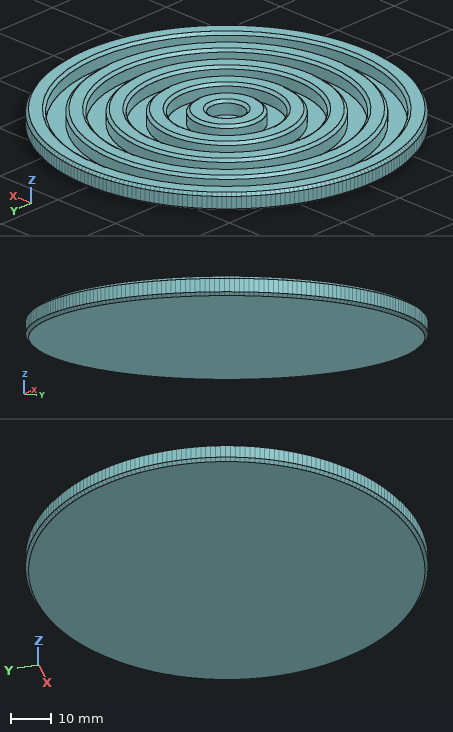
import cadquery as cq
import math

disc_width = 100.0
thickness = 5.0
floor_thickness = 1.0
land_width = 5.0
edge_chamfer = 0.8
rim_facets = 256
groove_count = 4

disc_corner_diameter = disc_width / math.cos(math.pi / rim_facets)
facet_turn = 180.0 / rim_facets
ring_pitch = 2 * land_width


def faceted_disc():
    """Many-sided disc with flats facing the axes, chamfered at top and bottom."""
    disc = (
        cq.Workplane("XY")
        .polygon(rim_facets, disc_corner_diameter)
        .extrude(thickness)
        .rotate((0, 0, 0), (0, 0, 1), facet_turn)
    )
    return disc.faces("<Z or >Z").chamfer(edge_chamfer)


def central_pocket():
    """Round pocket at the centre that widens at its mouth by the edge chamfer."""
    return (
        cq.Workplane("XZ")
        .moveTo(0, floor_thickness)
        .lineTo(land_width, floor_thickness)
        .lineTo(land_width, thickness - edge_chamfer)
        .lineTo(land_width + edge_chamfer, thickness)
        .lineTo(0, thickness)
        .close()
        .revolve(360, (0, 0), (0, 1))
    )


def ring_groove(inner_radius):
    """Ring-shaped groove that widens at both edges of its mouth by the edge chamfer."""
    outer_radius = inner_radius + land_width
    return (
        cq.Workplane("XZ")
        .moveTo(inner_radius, floor_thickness)
        .lineTo(outer_radius, floor_thickness)
        .lineTo(outer_radius, thickness - edge_chamfer)
        .lineTo(outer_radius + edge_chamfer, thickness)
        .lineTo(inner_radius - edge_chamfer, thickness)
        .lineTo(inner_radius, thickness - edge_chamfer)
        .close()
        .revolve(360, (0, 0), (0, 1))
    )


result = faceted_disc().cut(central_pocket())
for groove in range(1, groove_count + 1):
    result = result.cut(ring_groove(groove * ring_pitch))